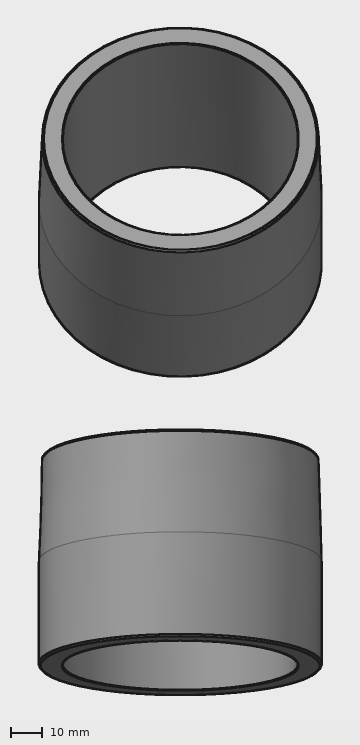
import cadquery as cq

outer_diameter = 88.9
height = 66.7
bore_diameter = 73.8
top_diameter = 86.9
taper_start = 33.4
edge_chamfer = 0.6
bore_chamfer = 0.3

outer_radius = outer_diameter / 2
top_radius = top_diameter / 2
bore_radius = bore_diameter / 2

section = (
    cq.Workplane("XZ")
    .moveTo(bore_radius + bore_chamfer, 0)
    .lineTo(outer_radius - edge_chamfer, 0)
    .lineTo(outer_radius, edge_chamfer)
    .lineTo(outer_radius, taper_start)
    .lineTo(top_radius, height - edge_chamfer)
    .lineTo(top_radius - edge_chamfer, height)
    .lineTo(bore_radius + bore_chamfer, height)
    .lineTo(bore_radius, height - bore_chamfer)
    .lineTo(bore_radius, bore_chamfer)
    .close()
)

result = section.revolve(360, (0, 0, 0), (0, 1, 0))